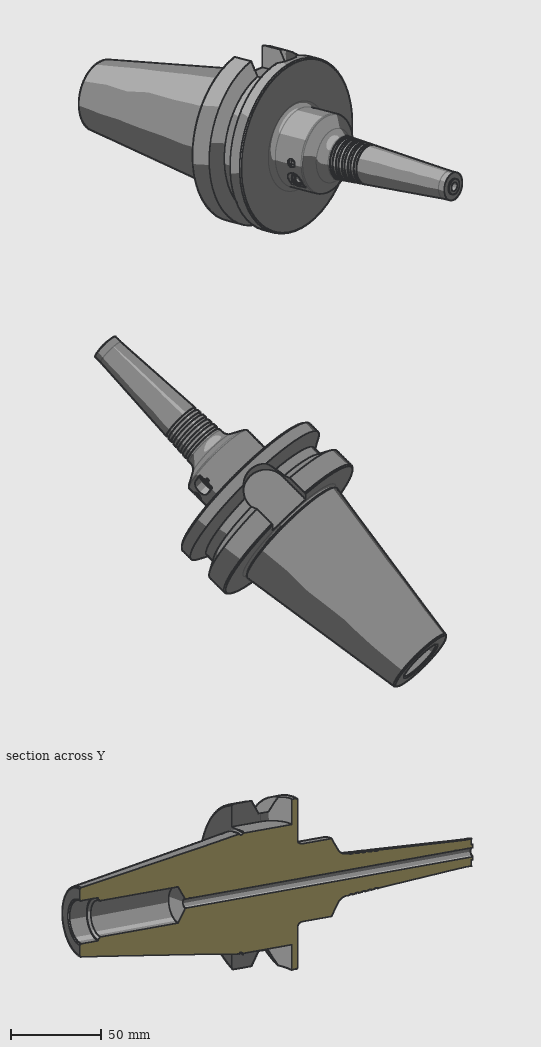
import cadquery as cq
import math


total_length = 251.8
nose_length = 0.8
nose_diameter = 9.0

shank_rear_diameter = 40.8
shank_front_diameter = 70.5
shank_length = 102.2
shank_edge_chamfer = 0.8
relief_diameter = 69.0
relief_start = 103.0
relief_fillet = 1.5

flange_start = 104.7
flange_end = 139.7
flange_diameter = 100.0
flange_chamfer = 0.8
vee_start = 117.3
vee_end = 132.2
vee_floor_diameter = 84.4
vee_half_angle = 30

slot_width = 25.5
slot_depth = 31.0
slot_floor_height = 35.3

neck_diameter = 45.8
neck_fillet = 2.8
shoulder_start = 161.7
shoulder_end = 165.7
shoulder_angle = 60
shoulder_edge_radius = 0.88

taper_start = 171.7
taper_start_diameter = 25.0
taper_end = 246.8
tip_diameter = 16.0

ring_count = 5
ring_start = 173.0
ring_pitch = 4.0
ring_width = 1.8
ring_depth = 0.5

counterbore_diameter = 25.0
counterbore_depth = 11.5
counterbore_chamfer = 0.8
thread_entry_diameter = 24.0
thread_diameter = 21.0
thread_end = 63
through_diameter = 5
drill_half_angle = 60

screw_x = 154.0
screw_height = 12.0
pocket_width = 9.8
pocket_floor = 16.4
screw_diameter = 9.0
screw_face_diameter = 6.5
screw_edge_depth = 1.5
socket_diameter = 4.5
socket_depth = 3.0
cross_hole_diameter = 5
cross_hole_height = 1.0
cross_hole_depth = 1.3
cross_hole_drill_diameter = 2.32
cross_hole_drill_depth = 3.8


def revolve_about_x(profile):
    return profile.close().revolve(360, (0, 0, 0), (1, 0, 0))


def turned_body():
    flange_radius = flange_diameter / 2
    neck_radius = neck_diameter / 2
    relief_radius = relief_diameter / 2
    vee_floor_radius = vee_floor_diameter / 2
    vee_run = (flange_radius - vee_floor_radius) * math.tan(math.radians(vee_half_angle))
    shoulder_tilt = math.radians(shoulder_angle)
    edge_run = shoulder_edge_radius * math.sin(shoulder_tilt)
    shoulder_start_radius = neck_radius - shoulder_edge_radius * (1 - math.cos(shoulder_tilt))
    shoulder_drop = (shoulder_end - shoulder_start) * math.tan(shoulder_tilt)
    nose_face = total_length - nose_length
    diagonal = math.sqrt(0.5)

    profile = (
        cq.Workplane("XY")
        .moveTo(0, 0)
        .lineTo(0, shank_rear_diameter / 2 - shank_edge_chamfer)
        .lineTo(shank_edge_chamfer, shank_rear_diameter / 2)
        .lineTo(shank_length, shank_front_diameter / 2)
        .lineTo(relief_start, relief_radius)
        .lineTo(flange_start - relief_fillet, relief_radius)
        .threePointArc(
            (
                flange_start - relief_fillet * (1 - diagonal),
                relief_radius + relief_fillet * (1 - diagonal),
            ),
            (flange_start, relief_radius + relief_fillet),
        )
        .lineTo(flange_start, flange_radius - flange_chamfer)
        .lineTo(flange_start + flange_chamfer, flange_radius)
        .lineTo(vee_start, flange_radius)
        .lineTo(vee_start + vee_run, vee_floor_radius)
        .lineTo(vee_end - vee_run, vee_floor_radius)
        .lineTo(vee_end, flange_radius)
        .lineTo(flange_end - flange_chamfer, flange_radius)
        .lineTo(flange_end, flange_radius - flange_chamfer)
        .lineTo(flange_end, neck_radius + neck_fillet)
        .threePointArc(
            (
                flange_end + neck_fillet * (1 - diagonal),
                neck_radius + neck_fillet * (1 - diagonal),
            ),
            (flange_end + neck_fillet, neck_radius),
        )
        .lineTo(shoulder_start - edge_run, neck_radius)
        .tangentArcPoint((shoulder_start, shoulder_start_radius), relative=False)
        .lineTo(shoulder_end, shoulder_start_radius - shoulder_drop)
        .tangentArcPoint((taper_start, taper_start_diameter / 2), relative=False)
        .lineTo(taper_end, tip_diameter / 2)
        .lineTo(nose_face, tip_diameter / 2)
        .lineTo(nose_face, nose_diameter / 2)
        .lineTo(total_length, nose_diameter / 2)
        .lineTo(total_length, 0)
    )
    return revolve_about_x(profile)


def ring_grooves():
    """Grooves whose floors run parallel to the nose taper."""
    slope = (tip_diameter - taper_start_diameter) / 2 / (taper_end - taper_start)
    clear_radius = taper_start_diameter / 2 + ring_depth
    grooves = cq.Workplane("XY")
    for index in range(ring_count):
        start = ring_start + index * ring_pitch
        end = start + ring_width
        floor_start = taper_start_diameter / 2 + slope * (start - taper_start) - ring_depth
        floor_end = floor_start + slope * ring_width
        profile = (
            cq.Workplane("XY")
            .moveTo(start, floor_start)
            .lineTo(start, clear_radius)
            .lineTo(end, clear_radius)
            .lineTo(end, floor_end)
        )
        grooves = grooves.add(revolve_about_x(profile))
    return grooves.combine()


def drive_slot():
    end_center = flange_start + slot_depth - slot_width / 2
    straight_length = end_center - flange_start

    def floor_plane():
        return cq.Workplane("XY").workplane(offset=slot_floor_height)

    straight = (
        floor_plane()
        .center(flange_start + straight_length / 2, 0)
        .rect(straight_length, slot_width)
        .extrude(flange_diameter / 2)
    )
    round_end = floor_plane().center(end_center, 0).circle(slot_width / 2).extrude(flange_diameter / 2)
    return straight.union(round_end)


def axial_bore():
    thread_chamfer = (thread_entry_diameter - thread_diameter) / 2
    cone_length = (thread_diameter - through_diameter) / 2 / math.tan(math.radians(drill_half_angle))
    profile = (
        cq.Workplane("XY")
        .moveTo(0, 0)
        .lineTo(0, counterbore_diameter / 2 + counterbore_chamfer)
        .lineTo(counterbore_chamfer, counterbore_diameter / 2)
        .lineTo(counterbore_depth, counterbore_diameter / 2)
        .lineTo(counterbore_depth, thread_entry_diameter / 2)
        .lineTo(counterbore_depth + thread_chamfer, thread_diameter / 2)
        .lineTo(thread_end, thread_diameter / 2)
        .lineTo(thread_end + cone_length, through_diameter / 2)
        .lineTo(total_length, through_diameter / 2)
        .lineTo(total_length, 0)
    )
    return revolve_about_x(profile)


def screw_recess():
    """Pocket, screw edge, socket and cross hole on the -Y side of the neck."""
    neck_radius = neck_diameter / 2

    def plane_at(distance):
        return cq.Workplane("XZ").workplane(offset=distance)

    def screw_circle(distance, diameter):
        return plane_at(distance).center(screw_x, -screw_height).circle(diameter / 2)

    def screw_cone(base_radius, end_radius, length, distance, y_direction):
        base = cq.Vector(screw_x, -distance, -screw_height)
        cone = cq.Solid.makeCone(base_radius, end_radius, length, base, cq.Vector(0, y_direction, 0))
        return cq.Workplane(cone)

    def cross_circle(depth, diameter):
        return plane_at(neck_radius - depth).center(screw_x, -cross_hole_height).circle(diameter / 2)

    pocket = screw_circle(pocket_floor, pocket_width).extrude(neck_radius)
    pocket_side = (
        plane_at(pocket_floor)
        .center(screw_x, -screw_height - neck_radius / 2)
        .rect(pocket_width, neck_radius)
        .extrude(neck_radius)
    )
    edge_floor = pocket_floor - screw_edge_depth
    screw_edge = screw_circle(edge_floor, screw_diameter).extrude(screw_edge_depth)
    screw_bevel = screw_cone(
        screw_diameter / 2, screw_face_diameter / 2, screw_edge_depth, edge_floor, -1
    )
    edge_gap = screw_edge.cut(screw_bevel)

    socket_floor = pocket_floor - socket_depth
    socket_radius = socket_diameter / 2
    point_length = socket_radius / math.tan(math.radians(drill_half_angle))
    socket = screw_circle(socket_floor, socket_diameter).extrude(socket_depth)
    point = screw_cone(socket_radius, 0, point_length, socket_floor, 1)

    cross_hole = cross_circle(cross_hole_depth, cross_hole_diameter).extrude(neck_radius)
    cross_drill = cross_circle(cross_hole_drill_depth, cross_hole_drill_diameter).extrude(neck_radius)
    holes = cross_hole.union(cross_drill)
    return pocket.union(pocket_side).union(edge_gap).union(socket).union(point).union(holes)


def opposite(shape):
    return shape.rotate((0, 0, 0), (1, 0, 0), 180)


result = turned_body().cut(ring_grooves()).cut(axial_bore())
for feature in (drive_slot(), screw_recess()):
    result = result.cut(feature).cut(opposite(feature))